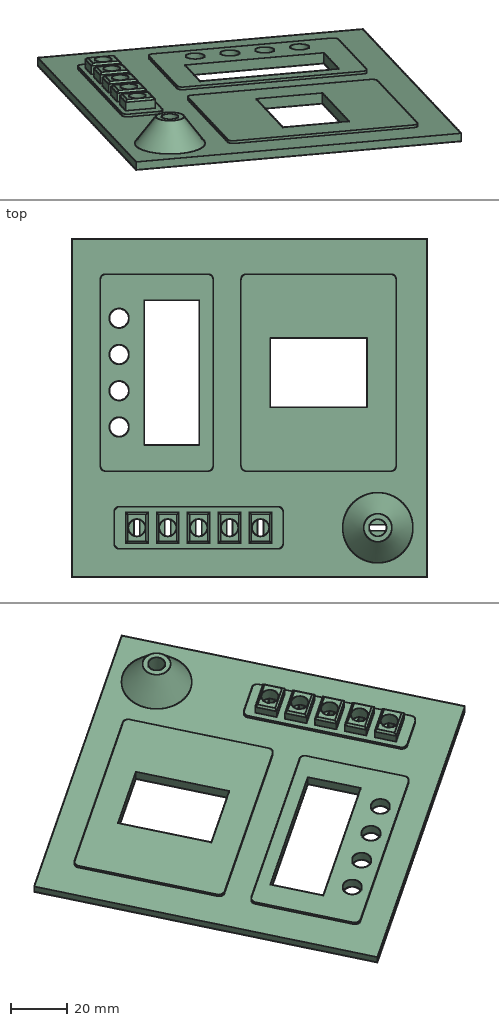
import cadquery as cq


plate_length = 126.0
plate_width = 120.0
plate_thickness = 3.0

pad_height = 1.0
pad_corner_radius = 2.0
upper_pad_depth = 69.9
upper_pad_back_margin = 12.5
upper_pad_centre_y = plate_width - upper_pad_back_margin - upper_pad_depth / 2

left_pad_width = 40.1
left_pad_start_x = 10.1
left_pad_centre_x = left_pad_start_x + left_pad_width / 2
tall_window_width = 19.4
tall_window_depth = 51.3
tall_window_centre_x = 35.4
round_hole_diameter = 6.8
round_hole_count = 4
round_hole_pitch = 12.9
round_hole_x = 16.8

right_pad_width = 55.0
right_pad_start_x = 60.0
right_pad_centre_x = right_pad_start_x + right_pad_width / 2
wide_window_width = 34.3
wide_window_depth = 24.5

control_row_y = 17.5
strip_width = 60.0
strip_depth = 15.0
strip_start_x = 15.0
strip_centre_x = strip_start_x + strip_width / 2
block_count = 5
block_pitch = 11.0
block_width = 8.0
block_depth = 11.0
block_height = 3.9
block_chamfer = 0.8

knob_x = 108.5
knob_base_diameter = 25.0
knob_top_diameter = 10.0
knob_height = 10.0

bore_diameter = 6.0
slot_length = bore_diameter
slot_width = 2.0

pad_top = plate_thickness + pad_height
block_top = pad_top + block_height


def row_positions(centre, pitch, count):
    """Evenly spaced coordinates placed symmetrically about a centre."""
    return [centre + (i - (count - 1) / 2) * pitch for i in range(count)]


def box_on(z, x, y, width, depth, height):
    """Box centred on (x, y) that rises from level z."""
    return cq.Workplane("XY", origin=(x, y, z)).rect(width, depth).extrude(height)


def make_pad(x, y, width, depth):
    """Low pad with rounded vertical corners, standing on the plate."""
    return box_on(plate_thickness, x, y, width, depth, pad_height).edges("|Z").fillet(pad_corner_radius)


def make_block(x):
    """Block on the strip, chamfered around its top face."""
    block = box_on(pad_top, x, control_row_y, block_width, block_depth, block_height)
    return block.faces(">Z").edges().chamfer(block_chamfer)


def make_bore(x, top):
    """Round cutter from the plate's top face up to the given level."""
    bore = cq.Workplane("XY", origin=(x, control_row_y, plate_thickness)).circle(bore_diameter / 2)
    return bore.extrude(top - plate_thickness)


def make_panel():
    """Plate with its pads, blocks, windows, holes and slots."""
    panel = box_on(0, plate_length / 2, plate_width / 2, plate_length, plate_width, plate_thickness)

    panel = panel.union(make_pad(left_pad_centre_x, upper_pad_centre_y, left_pad_width, upper_pad_depth))
    panel = panel.union(make_pad(right_pad_centre_x, upper_pad_centre_y, right_pad_width, upper_pad_depth))
    panel = panel.union(make_pad(strip_centre_x, control_row_y, strip_width, strip_depth))

    tall_window = box_on(
        0, tall_window_centre_x, upper_pad_centre_y, tall_window_width, tall_window_depth, pad_top
    )
    wide_window = box_on(
        0, right_pad_centre_x, upper_pad_centre_y, wide_window_width, wide_window_depth, pad_top
    )
    panel = panel.cut(tall_window).cut(wide_window)

    hole_ys = row_positions(upper_pad_centre_y, round_hole_pitch, round_hole_count)
    hole_points = [(round_hole_x, y) for y in hole_ys]
    round_holes = cq.Workplane("XY").pushPoints(hole_points).circle(round_hole_diameter / 2)
    panel = panel.cut(round_holes.extrude(pad_top))

    for x in row_positions(strip_centre_x, block_pitch, block_count):
        slot = box_on(0, x, control_row_y, slot_width, slot_length, plate_thickness)
        panel = panel.union(make_block(x)).cut(make_bore(x, block_top)).cut(slot)

    knob_slot = box_on(0, knob_x, control_row_y, slot_length, slot_width, plate_thickness)
    return panel.cut(knob_slot)


def make_knob():
    """Truncated cone standing on the plate, bored from top to bottom."""
    cone = cq.Solid.makeCone(
        knob_base_diameter / 2,
        knob_top_diameter / 2,
        knob_height,
        cq.Vector(knob_x, control_row_y, plate_thickness),
    )
    bore = make_bore(knob_x, plate_thickness + knob_height)
    return cq.Workplane(cone).cut(bore)


panel = make_panel()
knob = make_knob()

result = cq.Compound.makeCompound([panel.val(), knob.val()])